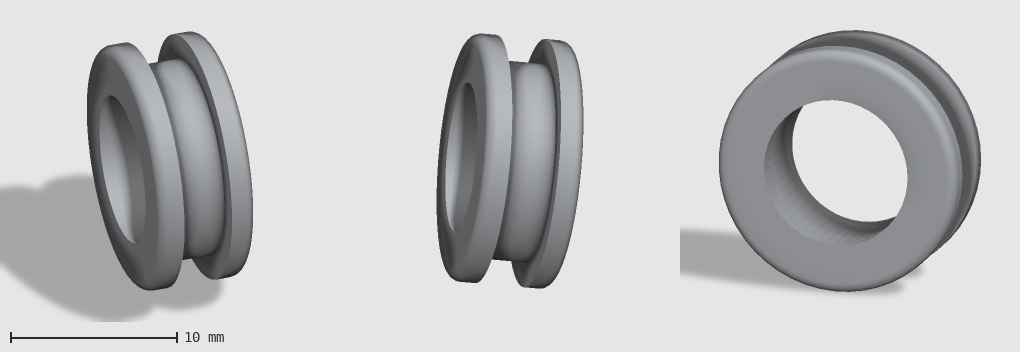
import cadquery as cq

flange_diameter = 15.0
groove_diameter = 12.0
bore_diameter = 9.0
total_width = 6.0
groove_width = 3.0
rim_fillet = 0.6

flange_width = (total_width - groove_width) / 2


def disc(diameter, width, y_start):
    """Cylinder along +Y, starting at y_start."""
    start_plane = cq.Workplane("XZ", origin=(0, y_start, 0))
    return start_plane.circle(diameter / 2).extrude(-width)


def make_flange(y_start, outer_face):
    """Flange disc with a rounded rim on its outward face."""
    return disc(flange_diameter, flange_width, y_start).faces(outer_face).edges().fillet(rim_fillet)


front_flange = make_flange(-total_width / 2, "<Y")
back_flange = make_flange(groove_width / 2, ">Y")
hub = disc(groove_diameter, groove_width, -groove_width / 2)
bore = disc(bore_diameter, total_width, -total_width / 2)

result = hub.union(front_flange).union(back_flange).cut(bore)